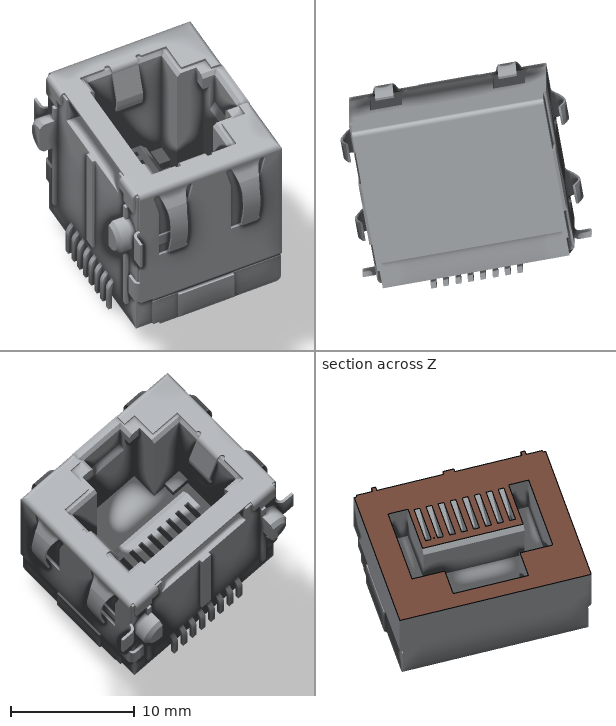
import cadquery as cq
import math

SHEET = 0.23

SHELL_HALF = 8.1
SHELL_BACK = 13.08
SHELL_FRONT = 0.17
SHELL_TOP = 15.65
TOP_BEND = 0.45
WALL_BOTTOM = 3.44
CURL_MIDDLE = 3.14
CURL_BOTTOM = 2.8
SKIRT_HALF = 7.85
SKIRT_FRONT = 1.47
BOTTOM_FRONT = 2.09
BOTTOM_BEND = 0.41

BODY_HALF = SHELL_HALF - SHEET
FOOT_HALF = 7.67
BODY_BACK = SHELL_BACK - SHEET
BODY_TOP = SHELL_TOP - SHEET

CAVITY_HALF = 5.92
CAVITY_FRONT = 2.58
CAVITY_STEP = 9.32
CAVITY_BACK = 11.7
CAVITY_FLOOR = 3.76
LATCH_HALF = 3.15
RECESS_HALF = 2.01
RECESS_BACK = 12.15
RECESS_BOTTOM = 12.03
RECESS_SLOPE_END = 11.37
LUG_FRONT = 11.05
LUG_BOTTOM = 13.95
LEAD_IN = 0.3

MOUTH_HALF = CAVITY_HALF + LEAD_IN
MOUTH_FRONT = 2.03
MOUTH_STEP = 9.89
MOUTH_LATCH_HALF = 3.53
MOUTH_LATCH_BACK = 12.07
MOUTH_GAP_HALF = 2.45

WINDOW_HALF = 4.62
WINDOW_BOTTOM = 13.08

LEAF_FRONT = 4.8
LEAF_BACK = 7.15

CONTACT_COUNT = 8
CONTACT_PITCH = 1.02
CONTACT_WIDTH = 0.45

SPRING_RISE = 1.17
SPRING_PEAK_Z = 11.45
SPRING_RADIUS = 5.45
SPRING_THICK = 0.19
SPRING_ARC_END = 10.19
SPRING_END = 8.95
SPRING_ROOT = 14.98
ROOT_BEND_END = 14.4
SPRING_ARC_START = 13.82
ROOT_ANGLE = math.radians(38)
SPRING_HALF = 0.75
SPRING_ROOT_HALF = 1.28
SIDE_SPRING_Y = (3.18, 9.75)
BACK_SPRING_X = (-5.05, 5.05)


def block(x0, x1, y0, y1, z0, z1):
    """Axis-aligned box between the given limits."""
    return cq.Workplane("XY").box(x1 - x0, y1 - y0, z1 - z0, centered=False).translate((x0, y0, z0))


def centred_block(half, y0, y1, z0, z1):
    return block(-half, half, y0, y1, z0, z1)


def both_sides(solid):
    """The solid together with its mirror image across X = 0."""
    return solid.union(solid.mirror("YZ"))


def make_lead_in(half, y0, y1):
    """Tapered plug that chamfers a rectangular mouth at the top of the housing."""
    return (
        cq.Workplane("XY", origin=(0, (y0 + y1) / 2, BODY_TOP))
        .rect(2 * half, y1 - y0)
        .extrude(-LEAD_IN, taper=45)
    )


def make_cavity():
    main = centred_block(CAVITY_HALF, CAVITY_FRONT, CAVITY_STEP, CAVITY_FLOOR, BODY_TOP)
    latch = centred_block(LATCH_HALF, CAVITY_STEP, CAVITY_BACK, CAVITY_FLOOR, BODY_TOP)
    lug = block(RECESS_HALF, LATCH_HALF, LUG_FRONT, CAVITY_BACK, LUG_BOTTOM, BODY_TOP)
    recess = (
        cq.Workplane("YZ")
        .moveTo(CAVITY_STEP, BODY_TOP)
        .lineTo(RECESS_BACK, BODY_TOP)
        .lineTo(RECESS_BACK, RECESS_BOTTOM)
        .lineTo(CAVITY_BACK, RECESS_SLOPE_END)
        .lineTo(CAVITY_STEP, RECESS_SLOPE_END)
        .close()
        .extrude(RECESS_HALF, both=True)
    )
    cavity = main.union(latch.cut(both_sides(lug))).union(recess)
    cavity = cavity.union(make_lead_in(MOUTH_HALF, CAVITY_FRONT - LEAD_IN, CAVITY_STEP + LEAD_IN))
    return cavity.union(make_lead_in(RECESS_HALF + LEAD_IN, CAVITY_STEP, RECESS_BACK + LEAD_IN))


def make_contact_comb():
    """Slotted block on the cavity floor; the slot floors follow the sloping contact wires."""
    half, back, top, chamfer = 4.27, 7.07, 7.52, 0.5
    slot_back, slot_depth = 5.98, 2.25
    comb = centred_block(half, CAVITY_FRONT, back, CAVITY_FLOOR, top)
    comb = comb.faces(">Z").edges(">Y").chamfer(chamfer)
    for x in contact_positions():
        slot = (
            cq.Workplane("YZ", origin=(x, 0, 0))
            .polyline([(CAVITY_FRONT, top), (slot_back, top), (slot_back, top - slot_depth)])
            .close()
            .extrude(CONTACT_WIDTH / 2, both=True)
        )
        comb = comb.cut(slot)
    return comb


def make_corner_pads():
    inner_x, front, height = 4.32, 8.31, 0.75
    return both_sides(
        block(inner_x, CAVITY_HALF, front, CAVITY_STEP, CAVITY_FLOOR, CAVITY_FLOOR + height)
    )


def make_pegs():
    """Board pegs: chamfered cylinders with a flat on the inner side."""
    radius, centre_x, centre_z, end_y, chamfer, flat_x = 1.55, 6.32, 10.34, -1.67, 0.35, 6.11
    peg = (
        cq.Workplane("XZ", origin=(centre_x, 0, centre_z))
        .circle(radius)
        .extrude(-end_y)
        .faces("<Y")
        .chamfer(chamfer)
    )
    keep = block(flat_x, centre_x + radius, end_y, 0, centre_z - radius, centre_z + radius)
    return both_sides(peg.intersect(keep))


def make_board_ribs():
    side_inner, side_outer, side_face, side_bottom, side_top = 6.11, 6.5, -0.35, 2.12, 13.24
    middle_half, middle_face, middle_bottom = 0.49, -0.28, 3.21
    side = block(side_inner, side_outer, side_face, 0, side_bottom, side_top)
    middle = centred_block(middle_half, middle_face, 0, middle_bottom, WINDOW_BOTTOM)
    return both_sides(side).union(middle)


def make_housing():
    body = centred_block(BODY_HALF, 0, BODY_BACK, WALL_BOTTOM, BODY_TOP)
    body = body.union(centred_block(FOOT_HALF, 0, BODY_BACK, SHEET, WALL_BOTTOM))
    body = body.cut(make_cavity())
    body = body.cut(centred_block(WINDOW_HALF, 0, CAVITY_FRONT, WINDOW_BOTTOM, BODY_TOP))
    body = body.union(
        centred_block(MOUTH_GAP_HALF, BODY_BACK, SHELL_BACK, BODY_TOP - TOP_BEND, BODY_TOP)
    )
    for part in (make_contact_comb(), make_corner_pads(), make_pegs(), make_board_ribs()):
        body = body.union(part)
    return body


def contact_positions():
    middle = (CONTACT_COUNT - 1) / 2
    return [(i - middle) * CONTACT_PITCH for i in range(CONTACT_COUNT)]


def make_solder_pins():
    """Pins leave the board face, bend down and end below the shell."""
    outer_y, inner_y, root_y = -0.5, -0.17, 0.19
    outer_root, outer_bend, inner_root, inner_bend, tip = 2.18, 1.32, 1.77, 1.26, -0.85
    shoulder = (-0.1, 2.05)
    outer_mid = (-0.35, 1.75)
    pins = cq.Workplane("XY")
    for x in contact_positions():
        pin = (
            cq.Workplane("YZ", origin=(x, 0, 0))
            .moveTo(root_y, outer_root)
            .lineTo(0, outer_root)
            .lineTo(*shoulder)
            .threePointArc(outer_mid, (outer_y, outer_bend))
            .lineTo(outer_y, tip)
            .lineTo(inner_y, tip)
            .lineTo(inner_y, inner_bend)
            .lineTo(0, inner_root)
            .lineTo(root_y, inner_root)
            .close()
            .extrude(CONTACT_WIDTH / 2, both=True)
        )
        pins = pins.union(pin)
    return pins


def make_shell_walls():
    upper = centred_block(SHELL_HALF, SHELL_FRONT, SHELL_BACK, WALL_BOTTOM, SHELL_TOP)
    upper = upper.faces(">Z").edges("<X or >X or >Y").fillet(TOP_BEND)
    inner = centred_block(BODY_HALF, 0, BODY_BACK, WALL_BOTTOM, BODY_TOP)
    return upper.cut(inner)


def make_curl():
    """Inward curl where the upper walls meet the lower skirt, along both sides."""
    waist = 7.8
    middle = (SHELL_HALF + waist) / 2
    bulge = (8.07, 3.27)
    side = (
        cq.Workplane("XZ", origin=(0, SHELL_BACK, 0))
        .moveTo(FOOT_HALF, WALL_BOTTOM)
        .lineTo(SHELL_HALF, WALL_BOTTOM)
        .threePointArc(bulge, (middle, CURL_MIDDLE))
        .tangentArcPoint((waist, CURL_BOTTOM), relative=False)
        .lineTo(FOOT_HALF, CURL_BOTTOM)
        .close()
        .extrude(SHELL_BACK - SKIRT_FRONT)
    )
    back = centred_block(FOOT_HALF, BODY_BACK, SHELL_BACK, CURL_BOTTOM, WALL_BOTTOM)
    return both_sides(side).union(back)


def make_skirt():
    skirt = centred_block(SKIRT_HALF, SKIRT_FRONT, SHELL_BACK, 0, CURL_BOTTOM)
    skirt = skirt.faces(">Y").edges("<Z").fillet(BOTTOM_BEND)
    skirt = skirt.cut(centred_block(SHELL_HALF, 0, BOTTOM_FRONT, 0, SHEET))
    inner = centred_block(FOOT_HALF, 0, BODY_BACK, SHEET, CURL_BOTTOM)
    return skirt.cut(inner)


def make_skirt_pads():
    """Raised pads in the middle of the lower skirt sides, bevelled at the bottom."""
    front, back, bevel = 3.7, 8.72, 0.25
    pad = block(FOOT_HALF, SHELL_HALF, front, back, 0, CURL_BOTTOM)
    return both_sides(pad.faces(">X").edges("<Z").chamfer(bevel))


def make_mouth():
    """Stepped opening of the shell, running out through the rear top bend."""
    half_outline = [
        (MOUTH_HALF, MOUTH_FRONT),
        (MOUTH_HALF, MOUTH_STEP),
        (MOUTH_LATCH_HALF, MOUTH_STEP),
        (MOUTH_LATCH_HALF, MOUTH_LATCH_BACK),
        (MOUTH_GAP_HALF, MOUTH_LATCH_BACK),
        (MOUTH_GAP_HALF, SHELL_BACK),
    ]
    outline = half_outline + [(-x, y) for x, y in reversed(half_outline)]
    return (
        cq.Workplane("XY", origin=(0, 0, SHELL_TOP)).polyline(outline).close().extrude(-TOP_BEND - SHEET)
    )


def make_leaf_reliefs():
    """Round reliefs in the top sheet at both ends of each inner leaf."""
    radius = 0.25
    points = [
        (side * MOUTH_HALF, y)
        for side in (-1, 1)
        for y in (LEAF_FRONT - radius, LEAF_BACK + radius)
    ]
    return cq.Workplane("XY", origin=(0, 0, BODY_TOP)).pushPoints(points).circle(radius).extrude(SHEET)


def make_inner_leaves():
    """Ground leaves folded from the mouth edge into the cavity."""
    bend = 0.43
    knee_x, knee_top, knee_bottom, tip_x, tip_z = 4.96, 12.7, 12.05, 5.11, 11.47
    knee_bulge = 0.01
    bend_mid = bend * (1 - math.sqrt(0.5))
    leaf = (
        cq.Workplane("XZ", origin=(0, LEAF_BACK, 0))
        .moveTo(MOUTH_HALF + SHEET, SHELL_TOP)
        .lineTo(MOUTH_HALF, SHELL_TOP)
        .threePointArc(
            (MOUTH_HALF - bend + bend_mid, SHELL_TOP - bend_mid), (MOUTH_HALF - bend, SHELL_TOP - bend)
        )
        .lineTo(knee_x, knee_top)
        .threePointArc((knee_x - knee_bulge, (knee_top + knee_bottom) / 2), (knee_x, knee_bottom))
        .lineTo(tip_x, tip_z)
        .lineTo(tip_x + SHEET, tip_z)
        .lineTo(knee_x + SHEET, knee_bottom)
        .lineTo(knee_x + SHEET, knee_top)
        .lineTo(MOUTH_HALF - bend + SHEET, SHELL_TOP - bend)
        .lineTo(MOUTH_HALF + SHEET, BODY_TOP)
        .close()
        .extrude(LEAF_BACK - LEAF_FRONT)
    )
    return both_sides(leaf)


def make_top_tabs():
    """Stepped tabs folded from the top sheet over the board face."""
    outer_x, step_x, inner_x = 7.67, 6.0, 5.28
    long_bottom, short_bottom, face_y = 13.61, 14.21, -0.28
    tab = block(inner_x, outer_x, face_y, SHELL_FRONT + SHEET, long_bottom, SHELL_TOP)
    tab = tab.faces("<Y").edges(">Z").fillet(TOP_BEND)
    tab = tab.cut(block(step_x, outer_x, 0, SHELL_FRONT + SHEET, long_bottom, BODY_TOP))
    short_end = (
        cq.Workplane("YZ", origin=(inner_x, 0, 0))
        .polyline([
            (face_y, long_bottom), (0, long_bottom), (0, short_bottom), (face_y, short_bottom + SHEET)
        ])
        .close()
        .extrude(step_x - inner_x)
    )
    tab = tab.cut(block(inner_x, step_x, 0, SHELL_FRONT + SHEET, long_bottom, BODY_TOP)).cut(short_end)
    return both_sides(tab)


def make_side_tabs():
    """Tabs folded from the side walls over the board face near the bottom."""
    inner_x, bottom, top, face_y, bend = 6.86, 3.72, 5.75, -0.25, 0.4
    tab = block(inner_x, SHELL_HALF, face_y, SHELL_FRONT, bottom, top)
    tab = tab.edges("<Y and >X").fillet(bend)
    return both_sides(tab.cut(block(inner_x, BODY_HALF, 0, SHELL_FRONT, bottom, top)))


def make_board_tabs():
    """Solder tabs bent outwards from the front edge of the side walls."""
    reach, bottom, top, face_y, radius = 9.4, 9.02, 11.58, -0.5, 0.58
    centre_x = BODY_HALF + radius
    centre_y = face_y + radius
    inner = radius - SHEET
    diagonal = math.sqrt(0.5)
    tab = (
        cq.Workplane("XY", origin=(0, 0, bottom))
        .moveTo(reach, face_y)
        .lineTo(centre_x, face_y)
        .threePointArc(
            (centre_x - radius * diagonal, centre_y - radius * diagonal), (BODY_HALF, centre_y)
        )
        .lineTo(BODY_HALF, SHELL_FRONT)
        .lineTo(SHELL_HALF, SHELL_FRONT)
        .lineTo(SHELL_HALF, centre_y)
        .threePointArc(
            (centre_x - inner * diagonal, centre_y - inner * diagonal), (centre_x, face_y + SHEET)
        )
        .lineTo(reach, face_y + SHEET)
        .close()
        .extrude(top - bottom)
    )
    return both_sides(tab)


def make_spring():
    centre = SPRING_RISE - SPRING_RADIUS
    inner_radius = SPRING_RADIUS - SPRING_THICK

    def on_arc(radius, z):
        angle = math.asin((z - SPRING_PEAK_Z) / SPRING_RADIUS)
        return (-centre - radius * math.cos(angle), SPRING_PEAK_Z + radius * math.sin(angle))

    def on_root_bend(radius, angle):
        return (-root_radius + radius * math.cos(angle), SPRING_ROOT - radius * math.sin(angle))

    root_radius = (SPRING_ROOT - ROOT_BEND_END) / math.sin(ROOT_ANGLE)
    inner_root_radius = root_radius + SPRING_THICK

    end_angle = math.asin((SPRING_PEAK_Z - SPRING_ARC_END) / SPRING_RADIUS)
    straight = (SPRING_ARC_END - SPRING_END) / math.cos(end_angle)
    shift = (straight * math.sin(end_angle), -straight * math.cos(end_angle))
    outer_end = on_arc(SPRING_RADIUS, SPRING_ARC_END)
    inner_end = on_arc(inner_radius, SPRING_ARC_END)
    side = (
        cq.Workplane("XZ")
        .moveTo(*on_root_bend(root_radius, 0))
        .threePointArc(on_root_bend(root_radius, ROOT_ANGLE / 2), on_root_bend(root_radius, ROOT_ANGLE))
        .lineTo(*on_arc(SPRING_RADIUS, SPRING_ARC_START))
        .threePointArc(on_arc(SPRING_RADIUS, SPRING_PEAK_Z), outer_end)
        .lineTo(outer_end[0] + shift[0], outer_end[1] + shift[1])
        .lineTo(inner_end[0] + shift[0], inner_end[1] + shift[1])
        .lineTo(*inner_end)
        .threePointArc(on_arc(inner_radius, SPRING_PEAK_Z), on_arc(inner_radius, SPRING_ARC_START))
        .lineTo(*on_root_bend(inner_root_radius, ROOT_ANGLE))
        .threePointArc(
            on_root_bend(inner_root_radius, ROOT_ANGLE / 2), on_root_bend(inner_root_radius, 0)
        )
        .close()
        .extrude(SPRING_ROOT_HALF, both=True)
    )
    neck_z = 12.69
    waist = (0.9, 13.84)
    face = (
        cq.Workplane("YZ")
        .moveTo(-SPRING_ROOT_HALF, SPRING_ROOT)
        .threePointArc((-waist[0], waist[1]), (-SPRING_HALF, neck_z))
        .lineTo(-SPRING_HALF, SPRING_END)
        .lineTo(SPRING_HALF, SPRING_END)
        .lineTo(SPRING_HALF, neck_z)
        .threePointArc(waist, (SPRING_ROOT_HALF, SPRING_ROOT))
        .close()
        .extrude(SPRING_RADIUS, both=True)
    )
    return side.intersect(face)


def make_spring_window():
    """Opening punched round a finger; it leaves the wall attached at the finger root."""
    half, wide_half, bottom, taper_z, shoulder_z, top = 1.32, 1.77, 8.23, 13.05, 14.85, 15.1
    lobe_x = 1.62
    return (
        cq.Workplane("YZ")
        .moveTo(-half, bottom)
        .lineTo(half, bottom)
        .lineTo(half, taper_z)
        .lineTo(wide_half, shoulder_z)
        .threePointArc((lobe_x, top), (SPRING_ROOT_HALF, SPRING_ROOT))
        .lineTo(-SPRING_ROOT_HALF, SPRING_ROOT)
        .threePointArc((-lobe_x, top), (-wide_half, shoulder_z))
        .lineTo(-half, taper_z)
        .close()
        .extrude(SHEET)
    )


def place_on_walls(feature):
    """Copies of a finger feature on the two side walls and the back wall."""
    copies = cq.Workplane("XY")
    for y in SIDE_SPRING_Y:
        copies = copies.union(both_sides(feature.translate((-SHELL_HALF, y, 0))))
    on_back = feature.rotate((0, 0, 0), (0, 0, 1), -90)
    for x in BACK_SPRING_X:
        copies = copies.union(on_back.translate((x, SHELL_BACK, 0)))
    return copies


def make_window_ledges():
    """Housing ledges showing in the front finger windows of the side walls."""
    bottom, top, half, rise = 9.32, 10.34, 1.32, 0.17
    y = SIDE_SPRING_Y[0]
    return both_sides(block(BODY_HALF, BODY_HALF + rise, y - half, y + half, bottom, top))


def make_shell():
    shell = make_shell_walls().cut(make_mouth()).cut(make_leaf_reliefs())
    shell = shell.cut(place_on_walls(make_spring_window()))
    for part in (make_curl(), make_skirt(), make_skirt_pads(), make_inner_leaves(),
                 make_top_tabs(), make_side_tabs(), make_board_tabs()):
        shell = shell.union(part)
    return shell.union(place_on_walls(make_spring()))


result = make_housing().union(make_shell()).union(make_window_ledges()).union(make_solder_pins())